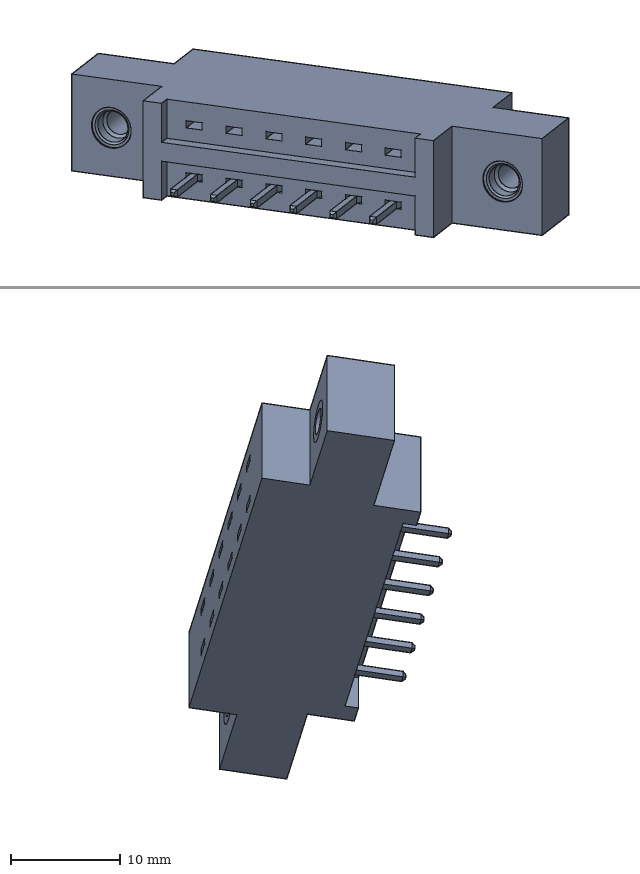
import cadquery as cq

height = 9.4
depth = 15.2
overall_width = 46.8
rear_width = 31.72
front_width = 28.85
ear_front = 4.4
ear_rear = 10.7

recess_width = 25.2
recess_depth = 1.25
rib_height = 1.82

contact_count = 6
contact_span = 19.8
contact_pitch = contact_span / (contact_count - 1)
contact_xs = [i * contact_pitch - contact_span / 2 for i in range(contact_count)]
row_offset = 2.55
slot_width = 1.6
slot_height = 0.7

shoulder_length = 0.9
tail_width = 0.65
tail_length = 3.85
tip_width = 0.3
tip_length = 0.35

bushing_offset = 19.45
bushing_radius = 1.95
bushing_setback = 0.2
wide_bore_radius = 1.5
narrow_bore_radius = 1.2
mouth_chamfer = 0.2
wide_bore_depth = 1.4


def block(width, y_front, y_rear, z_height, z_centre=0.0):
    """Box centred on X that spans y_front to y_rear."""
    length = y_rear - y_front
    return cq.Workplane("XY").box(width, length, z_height).translate((0, y_front + length / 2, z_centre))


def make_housing():
    body = block(front_width, 0, ear_front, height)
    body = body.union(block(overall_width, ear_front, ear_rear, height))
    body = body.union(block(rear_width, ear_rear, depth, height))

    recess_height = (height - rib_height) / 2
    recess_centre = (height + rib_height) / 4
    for side in (-1, 1):
        body = body.cut(block(recess_width, 0, recess_depth, recess_height, side * recess_centre))
        slot = block(slot_width, 0, depth, slot_height, side * row_offset)
        for x in contact_xs:
            body = body.cut(slot.translate((x, 0, 0)))

    ear_depth = ear_rear - ear_front
    hole = cq.Workplane("XZ", origin=(0, ear_rear, 0)).circle(bushing_radius).extrude(ear_depth)
    for side in (-1, 1):
        body = body.cut(hole.translate((side * bushing_offset, 0, 0)))
    return body


def make_contact(x):
    """Flat contact cut to its plan outline, with a four-sided bevel at the tip of the tail."""
    blade_half = slot_width / 2
    tail_half = tail_width / 2
    tip_base = tip_length - tail_length
    shoulder_end = recess_depth + shoulder_length

    shoulder_plan = [
        (-tail_half, recess_depth),
        (tail_half, recess_depth),
        (blade_half, shoulder_end),
        (-blade_half, shoulder_end),
    ]
    shoulder = cq.Workplane("XY", origin=(0, 0, -slot_height / 2)).polyline(shoulder_plan).close()
    shoulder = shoulder.extrude(slot_height)
    blade = block(slot_width, shoulder_end, depth, slot_height)
    tail = block(tail_width, tip_base, recess_depth, slot_height)
    tip = (
        cq.Workplane("XZ", origin=(0, tip_base, 0))
        .rect(tail_width, slot_height)
        .workplane(offset=tip_length)
        .rect(tip_width, tip_width)
        .loft()
    )
    return blade.union(shoulder).union(tail).union(tip).translate((x, 0, -row_offset))


def make_bushing(x):
    """Stepped sleeve through the ear, revolved about its Y axis."""
    front_rim = ear_front + bushing_setback
    cone_start = front_rim + wide_bore_depth
    cone_length = wide_bore_radius - narrow_bore_radius
    profile = [
        (wide_bore_radius + mouth_chamfer, front_rim),
        (bushing_radius, front_rim),
        (bushing_radius, ear_rear),
        (narrow_bore_radius, ear_rear),
        (narrow_bore_radius, cone_start + cone_length),
        (wide_bore_radius, cone_start),
        (wide_bore_radius, front_rim + mouth_chamfer),
    ]
    sleeve = cq.Workplane("XY").polyline(profile).close().revolve(360, (0, 0, 0), (0, 1, 0))
    return sleeve.translate((x, 0, 0))


housing = make_housing()
contacts = [make_contact(x) for x in contact_xs]
bushings = [make_bushing(side * bushing_offset) for side in (-1, 1)]

result = cq.Compound.makeCompound(
    [housing.val()] + [contact.val() for contact in contacts] + [bushing.val() for bushing in bushings]
)